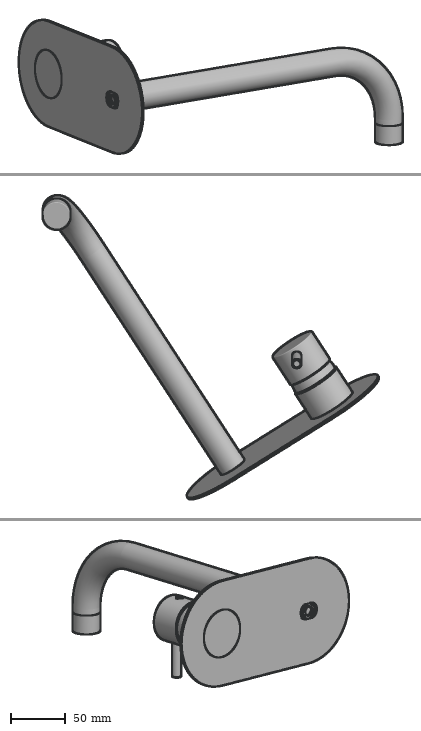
import cadquery as cq
import math


plate_length = 208.0
plate_height = 100.2
plate_thickness = 2.0
axis_spacing = plate_length - plate_height
mixer_x = -axis_spacing / 2
spout_x = axis_spacing / 2

tube_diameter = 25.8
overall_depth = 315.0
bend_radius = 60.8
outlet_y = overall_depth - tube_diameter / 2
bend_start_y = outlet_y - bend_radius
tube_end_z = -66.0

spigot_diameter = 14.5
spigot_bore_diameter = 8.8
spigot_bore_depth = plate_thickness
slot_length = 20.2

outlet_z = -84.5
aerator_edge_fillet = 0.5

base_diameter = 45.0
base_shoulder_y = 29.3
base_edge_chamfer = 1.0
neck_end_diameter = 40.3
neck_bulge = 0.47

knob_diameter = 43.5
knob_rear_y = 39.0
knob_front_y = 69.5
knob_edge_fillet = 1.0

screw_y = 58.0
screw_head_diameter = 6.3
screw_head_depth = 1.5
screw_hole_diameter = 3.8
screw_hole_depth = 6.3

lever_diameter = 8.8
lever_y = 61.7
lever_bottom_z = -54.8
lever_seat_z = -15.8
lever_edge_chamfer = 1.0


def cylinder_y(diameter, x, y_start, y_end):
    """Cylinder along +Y at height Z = 0."""
    start = cq.Vector(x, y_start, 0)
    return cq.Workplane(cq.Solid.makeCylinder(diameter / 2, y_end - y_start, start, cq.Vector(0, 1, 0)))


def cylinder_z(diameter, x, y, z_bottom, z_top):
    """Cylinder along +Z."""
    start = cq.Vector(x, y, z_bottom)
    return cq.Workplane(cq.Solid.makeCylinder(diameter / 2, z_top - z_bottom, start))


def obround_y(x, length, height, thickness):
    """Slot-shaped slab from Y = 0 to Y = thickness, long in X."""
    return cq.Workplane("XZ").center(x, 0).slot2D(length, height).extrude(-thickness)


def make_plate():
    plate = obround_y(0, plate_length, plate_height, plate_thickness)
    base_hole = cylinder_y(base_diameter, mixer_x, 0, plate_thickness)
    spigot_slot = obround_y(spout_x, slot_length, spigot_diameter, plate_thickness)
    return plate.cut(base_hole).cut(spigot_slot)


def make_spout():
    """Straight tube, quarter bend and short downward end, swept as one solid bar."""
    bend_middle_y = bend_start_y + bend_radius * math.sin(math.pi / 4)
    bend_middle_z = -bend_radius * (1 - math.cos(math.pi / 4))
    path = (
        cq.Workplane("YZ", origin=(spout_x, 0, 0))
        .moveTo(plate_thickness, 0)
        .lineTo(bend_start_y, 0)
        .threePointArc((bend_middle_y, bend_middle_z), (outlet_y, -bend_radius))
        .lineTo(outlet_y, tube_end_z)
    )
    section = cq.Workplane("XZ", origin=(spout_x, plate_thickness, 0)).circle(tube_diameter / 2)
    tube = section.sweep(path)
    spigot = cylinder_y(spigot_diameter, spout_x, 0, plate_thickness)
    bore = cylinder_y(spigot_bore_diameter, spout_x, 0, spigot_bore_depth)
    return tube.union(spigot).cut(bore)


def make_aerator():
    aerator = cylinder_z(tube_diameter, spout_x, outlet_y, outlet_z, tube_end_z)
    return aerator.faces("<Z").edges().fillet(aerator_edge_fillet)


def make_base():
    """Turned base: straight sleeve, chamfered shoulder and slightly domed neck."""
    base_radius = base_diameter / 2
    shoulder_radius = base_radius - base_edge_chamfer
    neck_start_y = base_shoulder_y + base_edge_chamfer
    neck_end_radius = neck_end_diameter / 2
    neck_middle = ((shoulder_radius + neck_end_radius) / 2 + neck_bulge, (neck_start_y + knob_rear_y) / 2)
    return (
        cq.Workplane("XY", origin=(mixer_x, 0, 0))
        .lineTo(base_radius, 0)
        .lineTo(base_radius, base_shoulder_y)
        .lineTo(shoulder_radius, neck_start_y)
        .threePointArc(neck_middle, (neck_end_radius, knob_rear_y))
        .lineTo(0, knob_rear_y)
        .close()
        .revolve(360, (0, 0), (0, 1))
    )


def make_lever():
    lever = cylinder_z(lever_diameter, mixer_x, lever_y, lever_bottom_z, lever_seat_z)
    return lever.faces("<Z").edges().chamfer(lever_edge_chamfer)


def make_knob():
    knob_top_z = knob_diameter / 2
    knob = cylinder_y(knob_diameter, mixer_x, knob_rear_y, knob_front_y)
    knob = knob.faces(">Y").edges().fillet(knob_edge_fillet)
    screw_head = cylinder_z(screw_head_diameter, mixer_x, screw_y, knob_top_z - screw_head_depth, knob_top_z)
    screw_hole = cylinder_z(screw_hole_diameter, mixer_x, screw_y, knob_top_z - screw_hole_depth, knob_top_z)
    lever_socket = cylinder_z(lever_diameter, mixer_x, lever_y, -knob_top_z, lever_seat_z)
    return knob.cut(screw_head).cut(screw_hole).cut(lever_socket)


plate = make_plate()
spout = make_spout()
aerator = make_aerator()
base = make_base()
knob = make_knob()
lever = make_lever()

result = cq.Compound.makeCompound(
    [plate.val(), spout.val(), aerator.val(), base.val(), knob.val(), lever.val()]
)